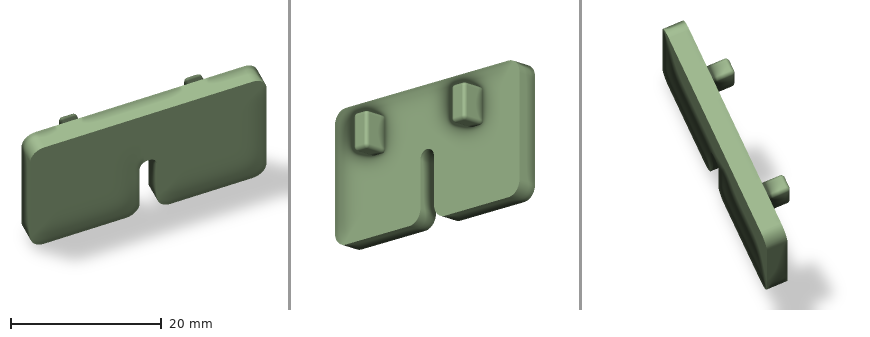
import cadquery as cq

plate_thickness = 3.0
plate_width = 34.0
plate_height = 19.0
corner_radius = 2.0

slot_width = 2.5
slot_height = 10.0
slot_mouth_radius = 2.0

peg_length = 3.5
peg_width = 2.5
peg_height = 5.2
peg_spacing = 18.02
peg_top_gap = 2.6
peg_edge_radius = 0.5

half_height = plate_height / 2
peg_center_z = half_height - peg_top_gap - peg_height / 2


def make_plate():
    """Rounded plate with the slot cut in and the slot mouth rounded."""
    plate = (
        cq.Workplane("YZ")
        .rect(plate_width, plate_height)
        .extrude(plate_thickness)
        .edges("|X")
        .fillet(corner_radius)
    )
    slot = (
        cq.Workplane("YZ")
        .center(0, -half_height)
        .slot2D(2 * slot_height, slot_width, 90)
        .extrude(plate_thickness)
    )
    pick_margin = 0.35
    mouth_corners = cq.selectors.BoxSelector(
        (0, -slot_width, -half_height - pick_margin),
        (plate_thickness, slot_width, -half_height + pick_margin),
    )
    return plate.cut(slot).edges("|X").edges(mouth_corners).fillet(slot_mouth_radius)


def make_peg(center_y):
    """Peg with its sides and free end rounded, standing on the plate's -X face."""
    return (
        cq.Workplane("YZ", origin=(0, center_y, peg_center_z))
        .rect(peg_width, peg_height)
        .extrude(-peg_length)
        .edges("|X or <X")
        .fillet(peg_edge_radius)
    )


result = make_plate()
for side in (-1, 1):
    result = result.union(make_peg(side * peg_spacing / 2))